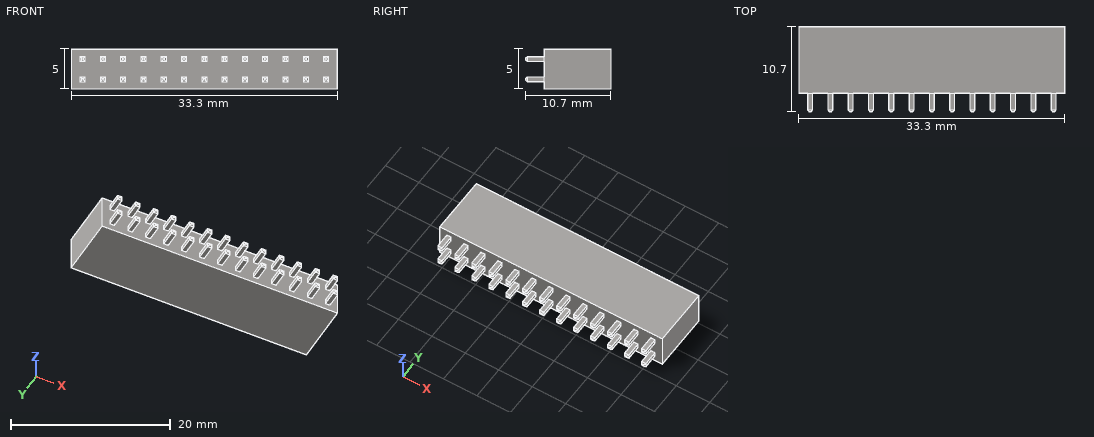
import cadquery as cq

LENGTH = 33.27
HEIGHT = 5.0
TOTAL_DEPTH = 10.68
HOUSING_DEPTH = 8.4

COLUMNS = 13
ROWS = 2
GRID_WIDTH = 30.48
COLUMN_PITCH = GRID_WIDTH / (COLUMNS - 1)
ROW_PITCH = COLUMN_PITCH

PIN_WIDTH = 0.63
PIN_LENGTH = TOTAL_DEPTH - HOUSING_DEPTH
TIP_LENGTH = 0.2
TIP_WIDTH = 0.23


def make_housing():
    """Plain block whose pin face lies on Y = 0."""
    housing = cq.Workplane("XY").box(LENGTH, HOUSING_DEPTH, HEIGHT)
    return housing.translate((0, HOUSING_DEPTH / 2, 0))


def make_pin():
    """One pin standing out from Y = 0 toward -Y."""
    shank = cq.Workplane("XZ").rect(PIN_WIDTH, PIN_WIDTH).extrude(PIN_LENGTH - TIP_LENGTH)
    tip = (
        cq.Workplane("XZ", origin=(0, TIP_LENGTH - PIN_LENGTH, 0))
        .rect(PIN_WIDTH, PIN_WIDTH)
        .workplane(offset=TIP_LENGTH)
        .rect(TIP_WIDTH, TIP_WIDTH)
        .loft(ruled=True)
    )
    return shank.union(tip)


def add_pins(housing):
    """Join the centred grid of pins to the housing."""
    pin = make_pin()
    part = housing
    for column in range(COLUMNS):
        x = (column - (COLUMNS - 1) / 2) * COLUMN_PITCH
        for row in range(ROWS):
            z = (row - (ROWS - 1) / 2) * ROW_PITCH
            part = part.union(pin.translate((x, 0, z)))
    return part


result = add_pins(make_housing())